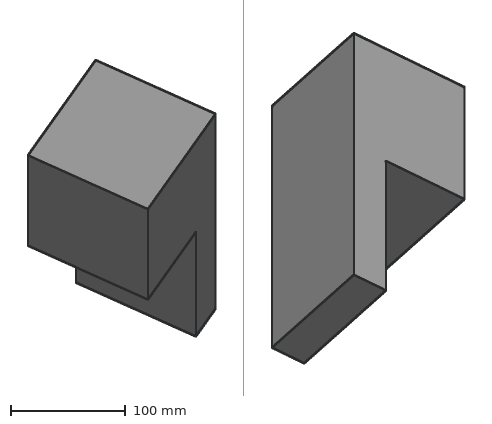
import cadquery as cq

height = 280.0
side = 120.0

head_height = 130.0
leg_thickness = 35.0
leg_height = height - head_height

head = cq.Workplane("XY").box(side, side, head_height, centered=False).translate((0, 0, leg_height))

leg = (
    cq.Workplane("XY")
    .box(side, leg_thickness, leg_height, centered=False)
    .translate((0, side - leg_thickness, 0))
)

result = head.union(leg)